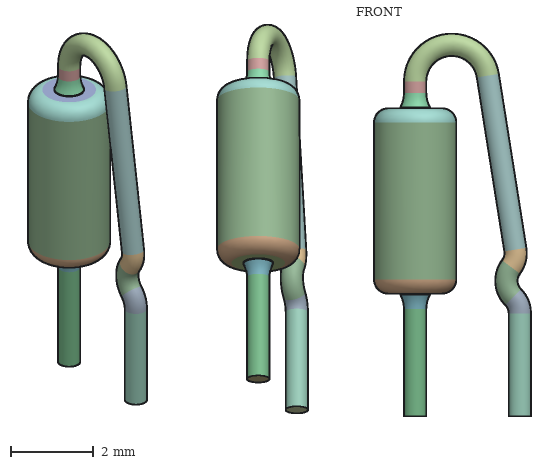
import cadquery as cq
import math


housing_diameter = 2.0
housing_bottom = 2.97
housing_height = 4.5
housing_edge_radius = 0.35
housing_top = housing_bottom + housing_height

wire_radius = 0.55 / 2
flare_radius = 0.36
flare_height = 0.35
flare_rim = 0.02

overall_height = 9.27
overall_width = 3.81
bend_start = 8.11
bend_radius = overall_height - wire_radius - bend_start
foot_x = overall_width - housing_diameter / 2 - wire_radius
foot_length = 2.49
kink_radius = 0.56
kink_lower_angle = math.radians(45)
kink_upper_angle = math.radians(37)


def on_circle(center, radius, angle):
    """Point on a circle in the XZ plane, with the angle measured from +X towards +Z."""
    return (center[0] + radius * math.cos(angle), center[1] + radius * math.sin(angle))


def make_housing():
    return (
        cq.Workplane("XY", origin=(0, 0, housing_bottom))
        .circle(housing_diameter / 2)
        .extrude(housing_height)
        .edges("%CIRCLE")
        .fillet(housing_edge_radius)
    )


def make_flare(base_z, direction):
    """Concave flare from the wire to the housing end; direction is +1 upwards, -1 downwards."""
    flare_growth = flare_radius - wire_radius
    arc_radius = (flare_height**2 + flare_growth**2) / (2 * flare_growth)
    half_angle = math.asin(flare_height / arc_radius) / 2
    rim_z = base_z + direction * flare_rim
    tip_z = rim_z + direction * flare_height
    middle = (
        wire_radius + arc_radius * (1 - math.cos(half_angle)),
        tip_z - direction * arc_radius * math.sin(half_angle),
    )
    return (
        cq.Workplane("XZ")
        .moveTo(0, base_z)
        .lineTo(flare_radius, base_z)
        .lineTo(flare_radius, rim_z)
        .threePointArc(middle, (wire_radius, tip_z))
        .lineTo(0, tip_z)
        .close()
        .revolve(360, (0, 0, 0), (0, 1, 0))
    )


def make_straight_lead():
    wire = cq.Workplane("XY").circle(wire_radius).extrude(housing_bottom)
    return wire.union(make_flare(housing_bottom, -1))


def make_bent_lead():
    lower_center = (foot_x - kink_radius, foot_length)
    middle_center = on_circle(lower_center, 2 * kink_radius, kink_lower_angle)
    upper_center = on_circle(middle_center, 2 * kink_radius, math.pi - kink_upper_angle)
    bend_center = (bend_radius, bend_start)

    run_x = bend_center[0] - upper_center[0]
    run_z = bend_center[1] - upper_center[1]
    center_tilt = math.atan2(-run_x, run_z)
    tilt = center_tilt - math.asin((bend_radius - kink_radius) / math.hypot(run_x, run_z))

    path = (
        cq.Workplane("XZ")
        .moveTo(foot_x, 0)
        .lineTo(foot_x, foot_length)
        .threePointArc(
            on_circle(lower_center, kink_radius, kink_lower_angle / 2),
            on_circle(lower_center, kink_radius, kink_lower_angle),
        )
        .threePointArc(
            on_circle(middle_center, kink_radius, math.pi + (kink_lower_angle - kink_upper_angle) / 2),
            on_circle(middle_center, kink_radius, math.pi - kink_upper_angle),
        )
        .threePointArc(
            on_circle(upper_center, kink_radius, (tilt - kink_upper_angle) / 2),
            on_circle(upper_center, kink_radius, tilt),
        )
        .lineTo(*on_circle(bend_center, bend_radius, tilt))
        .threePointArc(
            on_circle(bend_center, bend_radius, (tilt + math.pi) / 2),
            (0, bend_start),
        )
        .lineTo(0, housing_top)
    )
    wire = cq.Workplane("XY", origin=(foot_x, 0, 0)).circle(wire_radius).sweep(path)
    return wire.union(make_flare(housing_top, 1))


housing = make_housing()
straight_lead = make_straight_lead()
bent_lead = make_bent_lead()

result = cq.Compound.makeCompound([housing.val(), *straight_lead.vals(), *bent_lead.vals()])